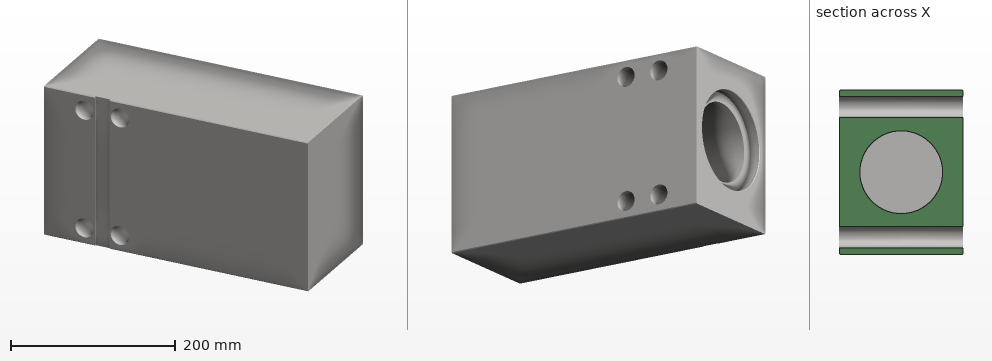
import cadquery as cq

length = 358.0
depth = 150.0
height = 200.0
edge_chamfer = 1.0

slot_centre_from_end = 79.0
slot_width = 20.0
slot_depth = 2.0

bolt_hole_diameter = 25.0
bolt_spacing_x = 48.0
bolt_spacing_z = 158.0

bore_diameter = 100.0
end_wall = 43.0
counterbore_diameter = 125.0
counterbore_depth = 14.3
mouth_chamfer = 0.7

end_x = -length / 2
front_y = -depth / 2
slot_x = end_x + slot_centre_from_end


def make_block():
    return cq.Workplane("XY").box(length, depth, height).edges("|X").chamfer(edge_chamfer)


def make_key_slot():
    return cq.Workplane("XY").box(slot_width, 2 * slot_depth, height).translate((slot_x, front_y, 0))


def make_bolt_holes():
    return (
        cq.Workplane("XZ", origin=(slot_x, 0, 0))
        .rarray(bolt_spacing_x, bolt_spacing_z, 2, 2)
        .circle(bolt_hole_diameter / 2)
        .extrude(depth, both=True)
    )


def make_bore():
    bore_radius = bore_diameter / 2
    counterbore_radius = counterbore_diameter / 2
    bore_end_x = length / 2 - end_wall
    step_x = end_x + counterbore_depth
    half_section = [
        (end_x, 0),
        (end_x, counterbore_radius + mouth_chamfer),
        (end_x + mouth_chamfer, counterbore_radius),
        (step_x, counterbore_radius),
        (step_x, bore_radius),
        (bore_end_x, bore_radius),
        (bore_end_x, 0),
    ]
    return cq.Workplane("XY").polyline(half_section).close().revolve(360, (0, 0, 0), (1, 0, 0))


result = make_block().cut(make_key_slot()).cut(make_bolt_holes()).cut(make_bore())